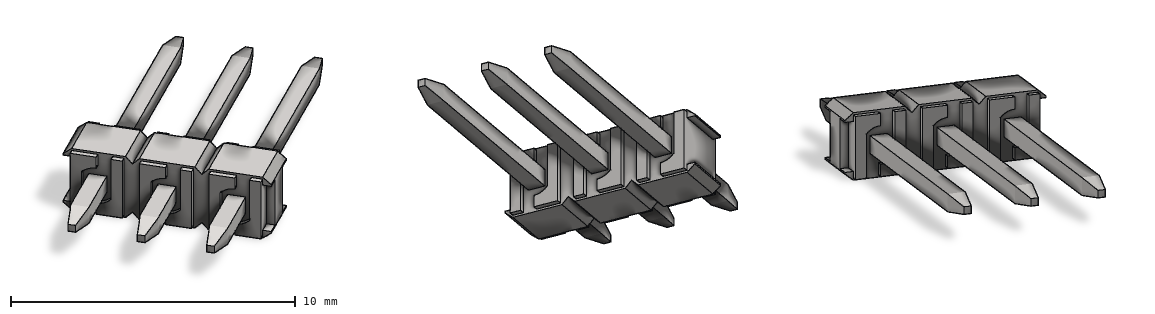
import cadquery as cq

pin_count = 3
row_length = 7.62
pitch = row_length / pin_count

body_depth = 1.87
body_height = 2.49
notch_size = 0.25

pad_half_width = 0.95
pad_thickness = 0.2
pad_margin = 0.08
pad_height = body_height - 2 * pad_margin
channel_half_width = 0.54
pin_clearance_radius = 0.71

lip_length = pitch / 2 - pad_half_width
lip_thickness = 0.32
key_depth = body_depth / 2

pin_width = 0.66
tip_width = 0.28
taper_length = 1.02
pin_length = 13.46
front_reach = 4.19

pin_positions = [(i - (pin_count - 1) / 2) * pitch for i in range(pin_count)]
groove_positions = [(i - pin_count / 2) * pitch for i in range(1, pin_count)]


def make_housing():
    """Bar with chamfered ends, V grooves between pins and an undercut at each end."""
    half_length = row_length / 2
    half_height = body_height / 2
    outline = [
        (-half_length, half_height - notch_size),
        (-half_length + lip_length, half_height),
    ]
    for x in groove_positions:
        outline += [
            (x - notch_size, half_height),
            (x, half_height - notch_size),
            (x + notch_size, half_height),
        ]
    outline += [
        (half_length - lip_length, half_height),
        (half_length, half_height - notch_size),
    ]
    outline += [(x, -z) for x, z in reversed(outline)]
    housing = cq.Workplane("XZ").polyline(outline).close().extrude(body_depth / 2, both=True)

    recess_height = body_height - 2 * lip_thickness
    recess_centre = half_length - lip_length / 2
    recess = cq.Workplane("XY").box(lip_length, body_depth, recess_height)
    housing = housing.cut(recess.translate((-recess_centre, 0, 0)))
    housing = housing.cut(recess.translate((recess_centre, 0, 0)))

    key = cq.Workplane("XY").box(lip_length, key_depth, recess_height)
    return housing.union(key.translate((recess_centre, 0, 0)))


def make_pad_pair():
    """Two hooked pads on the front face that leave an S-shaped channel round the pin."""
    half_height = pad_height / 2
    front_face = cq.Workplane("XZ", origin=(0, -body_depth / 2, 0))
    leg_width = pad_half_width - channel_half_width
    leg = (
        front_face.center(-(pad_half_width + channel_half_width) / 2, 0)
        .rect(leg_width, pad_height)
        .extrude(pad_thickness)
    )
    hook = (
        front_face.center(-channel_half_width / 2, half_height / 2)
        .rect(channel_half_width, half_height)
        .extrude(pad_thickness)
        .cut(front_face.circle(pin_clearance_radius).extrude(pad_thickness))
    )
    left_pad = leg.union(hook)
    right_pad = left_pad.rotate((0, 0, 0), (0, 1, 0), 180)
    return left_pad.union(right_pad)


def make_pin():
    """Square pin tapered to a blunt tip at both ends."""
    shaft_length = pin_length - 2 * taper_length
    shaft_front = -front_reach + taper_length
    shaft_back = shaft_front + shaft_length
    shaft = (
        cq.Workplane("XZ", origin=(0, shaft_back, 0))
        .rect(pin_width, pin_width)
        .extrude(shaft_length)
    )
    front_tip = (
        cq.Workplane("XZ", origin=(0, shaft_front, 0))
        .rect(pin_width, pin_width)
        .workplane(offset=taper_length)
        .rect(tip_width, tip_width)
        .loft(ruled=True)
    )
    back_tip = front_tip.mirror("XZ").translate((0, shaft_front + shaft_back, 0))
    return shaft.union(front_tip).union(back_tip)


front_pads = make_pad_pair()
back_pads = front_pads.rotate((0, 0, 0), (0, 0, 1), 180)
contact = make_pin().union(front_pads).union(back_pads)

result = make_housing()
for x in pin_positions:
    result = result.union(contact.translate((x, 0, 0)))